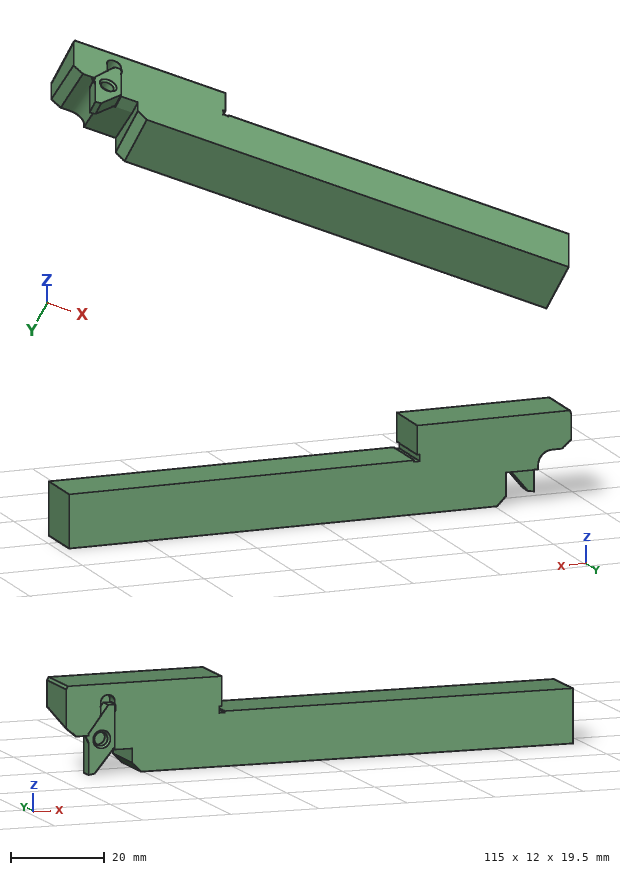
import cadquery as cq
import math

LENGTH = 115.0
WIDTH = 12.0
HEAD_HEIGHT = 19.5
SHANK_HEIGHT = 12.0
HEAD_LENGTH = 35.3
CLEARANCE_ANGLE = 13.0
OVERCUT = 4.6

TOP_CHAMFER_X = 0.3
TOP_CHAMFER_Z = 0.7
RELIEF_LEFT = 34.7
RELIEF_RIGHT = 36.0
RELIEF_BOTTOM = 11.6
RELIEF_TOP = 13.1
HEEL_X = 15.0
HEEL_CHAMFER = 2.1

NOSE_CHAMFER_TOP = 10.4
NOSE_CHAMFER_X = 2.2
NOSE_CEILING = 8.5
SUPPORT_FILLET = 3.1
SUPPORT_X = 7.6
SUPPORT_BOTTOM = 4.5
FRONT_NOTCH_CEILING = 5.2

INSERT_THICKNESS = 3.1
INSERT_LEFT = 5.1
INSERT_RIGHT = 11.0
INSERT_TOP = 15.0
INSERT_TOP_LEFT = 9.5
SHOULDER_Z = 9.0
TIP_WIDTH = 1.4
TIP_RISE = 0.2
INSERT_HEEL_Z = 5.8
SLOT_LEFT = 7.8
SLOT_TOP = 17.1
CORNER_RELIEF_RADIUS = 1.6
CORNER_RELIEF_X = 9.7
CORNER_RELIEF_Z = 14.3

RECESS_X = 8.0
RECESS_Z = 7.6
RECESS_RADIUS = 1.5
RECESS_DEPTH = 2.3
RECESS_CHAMFER = 0.5

LIP_WIDTH = 0.7
LIP_BOTTOM = 7.0
LIP_THICKNESS = 0.3


def front_sketch():
    """Workplane on the front face, with local axes X and Z."""
    return cq.Workplane("XZ")


def prism(points, depth):
    """Straight prism from the front face towards +Y."""
    return front_sketch().polyline(points).close().extrude(-depth)


def cylinder(x, z, radius, depth):
    return front_sketch().center(x, z).circle(radius).extrude(-depth)


def make_blank():
    outline = [
        (0, 0),
        (LENGTH, 0),
        (LENGTH, SHANK_HEIGHT),
        (RELIEF_RIGHT, SHANK_HEIGHT),
        (RELIEF_RIGHT, RELIEF_BOTTOM),
        (RELIEF_LEFT, RELIEF_BOTTOM),
        (RELIEF_LEFT, RELIEF_TOP),
        (HEAD_LENGTH, RELIEF_TOP),
        (HEAD_LENGTH, HEAD_HEIGHT),
        (TOP_CHAMFER_X, HEAD_HEIGHT),
        (0, HEAD_HEIGHT - TOP_CHAMFER_Z),
    ]
    return prism(outline, WIDTH)


def make_nose_clearance():
    """Space under the nose, rising towards +Y by the clearance angle."""
    arc_start_x = SUPPORT_X - SUPPORT_FILLET
    arc_end_z = NOSE_CEILING - SUPPORT_FILLET
    diagonal = SUPPORT_FILLET * math.sqrt(0.5)
    arc_middle = (arc_start_x + diagonal, arc_end_z + diagonal)
    chamfer_slope = (NOSE_CHAMFER_TOP - NOSE_CEILING) / NOSE_CHAMFER_X
    profile = (
        front_sketch()
        .moveTo(-OVERCUT, -OVERCUT)
        .lineTo(-OVERCUT, NOSE_CHAMFER_TOP + OVERCUT * chamfer_slope)
        .lineTo(NOSE_CHAMFER_X, NOSE_CEILING)
        .lineTo(arc_start_x, NOSE_CEILING)
        .threePointArc(arc_middle, (SUPPORT_X, arc_end_z))
        .lineTo(SUPPORT_X, SUPPORT_BOTTOM)
        .lineTo(HEEL_X, SUPPORT_BOTTOM)
        .lineTo(HEEL_X, -OVERCUT)
        .close()
    )
    rise = WIDTH * math.tan(math.radians(CLEARANCE_ANGLE))
    direction = cq.Vector(0, WIDTH, rise)
    return cq.Workplane(cq.Solid.extrudeLinear(profile.val(), [], direction))


def make_front_notch():
    """Level-topped notch through the layer that holds the insert."""
    corners = [
        (SUPPORT_X, 0),
        (HEEL_X, 0),
        (HEEL_X, FRONT_NOTCH_CEILING),
        (SUPPORT_X, FRONT_NOTCH_CEILING),
    ]
    return prism(corners, INSERT_THICKNESS)


def make_heel_chamfer():
    corners = [(HEEL_X, 0), (HEEL_X + HEEL_CHAMFER, 0), (HEEL_X, HEEL_CHAMFER)]
    return prism(corners, WIDTH)


def make_insert_blank():
    outline = [
        (INSERT_LEFT, 0),
        (INSERT_LEFT + TIP_WIDTH, TIP_RISE),
        (INSERT_RIGHT, INSERT_HEEL_Z),
        (INSERT_RIGHT, INSERT_TOP),
        (INSERT_TOP_LEFT, INSERT_TOP),
        (INSERT_LEFT, SHOULDER_Z),
    ]
    lip = [
        (INSERT_LEFT - LIP_WIDTH, NOSE_CEILING),
        (INSERT_LEFT, NOSE_CEILING),
        (INSERT_LEFT, LIP_BOTTOM),
    ]
    return prism(outline, INSERT_THICKNESS).union(prism(lip, LIP_THICKNESS))


def make_pocket_slot():
    """Round-topped slot above the insert, with a relief at the insert's top corner."""
    radius = (INSERT_RIGHT - SLOT_LEFT) / 2
    center_x = SLOT_LEFT + radius
    center_z = SLOT_TOP - radius
    corners = [
        (SLOT_LEFT, RECESS_Z),
        (INSERT_RIGHT, RECESS_Z),
        (INSERT_RIGHT, center_z),
        (SLOT_LEFT, center_z),
    ]
    slot = prism(corners, INSERT_THICKNESS)
    slot = slot.union(cylinder(center_x, center_z, radius, INSERT_THICKNESS))
    relief = cylinder(CORNER_RELIEF_X, CORNER_RELIEF_Z, CORNER_RELIEF_RADIUS, INSERT_THICKNESS)
    return slot.union(relief)


def make_pocket_foot():
    """Open lower end of the pocket, below the insert's heel."""
    corners = [
        (INSERT_LEFT, 0),
        (INSERT_RIGHT, 0),
        (INSERT_RIGHT, RECESS_Z),
        (INSERT_LEFT, RECESS_Z),
    ]
    return prism(corners, INSERT_THICKNESS)


def make_holder():
    holder = make_blank().cut(make_nose_clearance())
    holder = holder.cut(make_front_notch()).cut(make_heel_chamfer())
    holder = holder.cut(make_insert_blank()).cut(make_pocket_slot())
    return holder.cut(make_pocket_foot())


def make_insert():
    recess = cylinder(RECESS_X, RECESS_Z, RECESS_RADIUS, RECESS_DEPTH)
    mouth = (
        front_sketch()
        .center(RECESS_X, RECESS_Z)
        .circle(RECESS_RADIUS + RECESS_CHAMFER)
        .workplane(offset=-RECESS_CHAMFER)
        .circle(RECESS_RADIUS)
        .loft()
    )
    return make_insert_blank().cut(recess).cut(mouth)


holder = make_holder()
insert = make_insert()
result = cq.Compound.makeCompound([*holder.solids().vals(), *insert.solids().vals()])